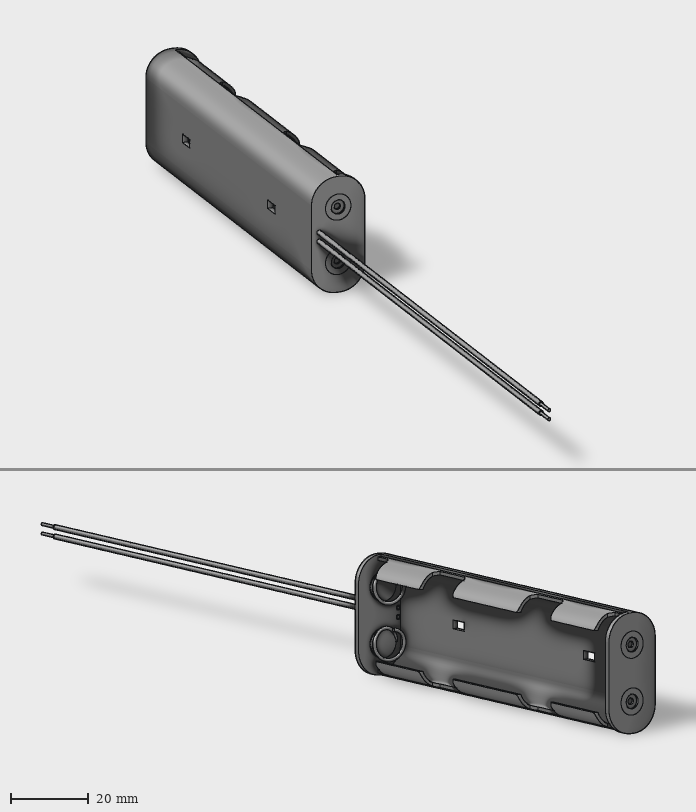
import cadquery as cq
import math

holder_length = 108.2
holder_depth = 14.9
holder_height = 31.5
corner_radius = 7.0
wall = 1.5
overlap = 1.0

shoulder_y = 0.2
shoulder_inset = 0.6
rim_y = 1.2
tab_top_y = holder_depth / 2 - 0.9
end_tab_start = 7.1
end_tab_end = 26.5
middle_tab_start = 40.0
tab_flare = 1.4
tab_corner_radius = 0.8

slot_length = 4.7
slot_width = 2.3
slot_offset = 27.8

row_z = 7.4
rivet_radius = 3.55
rivet_flange_radius = 3.8
rivet_flange = 1.0
rivet_length = wall + rivet_flange
recess_radius = 1.9
recess_depth = 0.6
pilot_radius = 0.85
pilot_depth = 1.2
spring_wire_radius = 0.45
spring_radius = 4.05
spring_pitch = 3.6
spring_turns = 1.25

total_length = 258.4
stripped_length = 5.4
jacket_radius = 0.65
core_radius = 0.4
lead_y = -5.3
lead_z = 1.22


def rounded_bar(inset, start, length):
    """Bar along X with the holder's rounded section, shrunk all round by inset."""
    return (
        cq.Workplane("YZ", origin=(start, 0, 0))
        .rect(holder_depth - 2 * inset, holder_height - 2 * inset)
        .extrude(length)
        .edges("|X")
        .fillet(corner_radius - inset)
    )


def rod(radius, start, end, y, z):
    """Round bar along X."""
    return cq.Workplane("YZ", origin=(start, y, z)).circle(radius).extrude(end - start)


def block(x_range, y_range, height):
    """Box between two X and two Y positions, centred on Z = 0."""
    length = x_range[1] - x_range[0]
    depth = y_range[1] - y_range[0]
    return cq.Workplane("XY").box(length, depth, height).translate(
        (sum(x_range) / 2, sum(y_range) / 2, 0)
    )


def tab_block(start, end):
    """Side outline of one gripping tab, flared at its foot and rounded at its top."""
    outline = [
        (start - tab_flare, rim_y),
        (start, rim_y + tab_flare),
        (start, tab_top_y),
        (end, tab_top_y),
        (end, rim_y + tab_flare),
        (end + tab_flare, rim_y),
    ]
    return (
        cq.Workplane("XY", origin=(0, 0, -holder_height / 2))
        .polyline(outline)
        .close()
        .extrude(holder_height)
        .edges("|Z and >Y")
        .fillet(tab_corner_radius)
    )


def make_holder():
    """Shell with an open cell bay, gripping tabs, floor slots and end-wall holes."""
    inner_end = holder_length - wall
    cavity_range = (wall, inner_end)
    above_top = holder_depth / 2 + overlap
    full_height = holder_height + 2 * overlap
    body = rounded_bar(0, 0, holder_length)

    upper_zone = block(cavity_range, (shoulder_y, above_top), full_height)
    body = body.cut(upper_zone.cut(rounded_bar(shoulder_inset, 0, holder_length)))

    tab_radius = corner_radius - shoulder_inset
    arc_y = holder_depth / 2 - corner_radius
    arc_z = holder_height / 2 - corner_radius
    opening_half = arc_z + math.sqrt(tab_radius**2 - (tab_top_y - arc_y) ** 2)
    body = body.cut(rounded_bar(wall, wall, holder_length - 2 * wall))
    body = body.cut(block(cavity_range, (0, above_top), 2 * opening_half))

    lowered = block(cavity_range, (rim_y, above_top), full_height)
    tab_spans = [
        (end_tab_start, end_tab_end),
        (middle_tab_start, holder_length - middle_tab_start),
        (holder_length - end_tab_end, holder_length - end_tab_start),
    ]
    for start, end in tab_spans:
        lowered = lowered.cut(tab_block(start, end))
    body = body.cut(lowered)

    floor_range = (-holder_depth / 2 - overlap, -holder_depth / 2 + wall + overlap)
    for side in (-1, 1):
        middle = holder_length / 2 + side * slot_offset
        slot_range = (middle - slot_length / 2, middle + slot_length / 2)
        body = body.cut(block(slot_range, floor_range, slot_width))

    for side in (-1, 1):
        rivet_hole = rod(rivet_radius, -overlap, holder_length + overlap, 0, side * row_z)
        lead_hole = rod(
            jacket_radius, inner_end - overlap, holder_length + overlap, lead_y, side * lead_z
        )
        body = body.cut(rivet_hole).cut(lead_hole)
    return body


def make_contact():
    """Contact pointing along +X, its rivet head on X = 0 and its axis on the X axis."""
    rivet = rod(rivet_radius, 0, rivet_length, 0, 0)
    rivet = rivet.union(rod(rivet_flange_radius, wall, rivet_length, 0, 0))
    rivet = rivet.cut(rod(recess_radius, 0, recess_depth, 0, 0))
    rivet = rivet.cut(rod(pilot_radius, 0, pilot_depth, 0, 0))

    helix = cq.Wire.makeHelix(spring_pitch, spring_pitch * spring_turns, spring_radius)
    spring = (
        cq.Workplane("XZ", origin=(spring_radius, 0, 0))
        .circle(spring_wire_radius)
        .sweep(cq.Workplane(helix), isFrenet=True)
        .rotate((0, 0, 0), (0, 1, 0), 90)
        .rotate((0, 0, 0), (1, 0, 0), -90)
        .translate((rivet_length - spring_wire_radius, 0, 0))
    )
    return rivet.union(spring)


holder = make_holder()

contacts = []
for row in (-1, 1):
    left_contact = make_contact()
    right_contact = make_contact().rotate((0, 0, 0), (0, 1, 0), 180)
    contacts.append(left_contact.translate((0, 0, row * row_z)))
    contacts.append(right_contact.translate((holder_length, 0, row * row_z)))

jackets = []
cores = []
for row in (-1, 1):
    lead_start = holder_length - wall
    jacket_end = total_length - stripped_length
    core = rod(core_radius, lead_start, total_length, lead_y, row * lead_z)
    jacket = rod(jacket_radius, lead_start, jacket_end, lead_y, row * lead_z).cut(core)
    cores.append(core)
    jackets.append(jacket)

bodies = [holder, *contacts, *jackets, *cores]
result = cq.Compound.makeCompound([body.solids().val() for body in bodies])